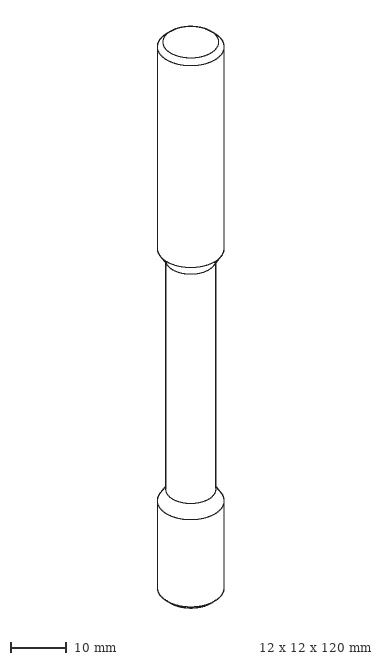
import cadquery as cq

total_length = 120.0
end_diameter = 12.0
neck_diameter = 9.0
lower_end_length = 20.0
upper_end_length = 45.0
taper_length = 2.5
end_chamfer = 1.0

end_radius = end_diameter / 2
neck_radius = neck_diameter / 2
chamfered_radius = end_radius - end_chamfer
upper_end_bottom = total_length - upper_end_length


def pin_half_profile():
    """Closed half outline of the pin in the XZ plane, from the axis outward."""
    return (
        cq.Workplane("XZ")
        .moveTo(0, 0)
        .lineTo(chamfered_radius, 0)
        .lineTo(end_radius, end_chamfer)
        .lineTo(end_radius, lower_end_length)
        .lineTo(neck_radius, lower_end_length + taper_length)
        .lineTo(neck_radius, upper_end_bottom - taper_length)
        .lineTo(end_radius, upper_end_bottom)
        .lineTo(end_radius, total_length - end_chamfer)
        .lineTo(chamfered_radius, total_length)
        .lineTo(0, total_length)
        .close()
    )


result = pin_half_profile().revolve(360, (0, 0), (0, 1))